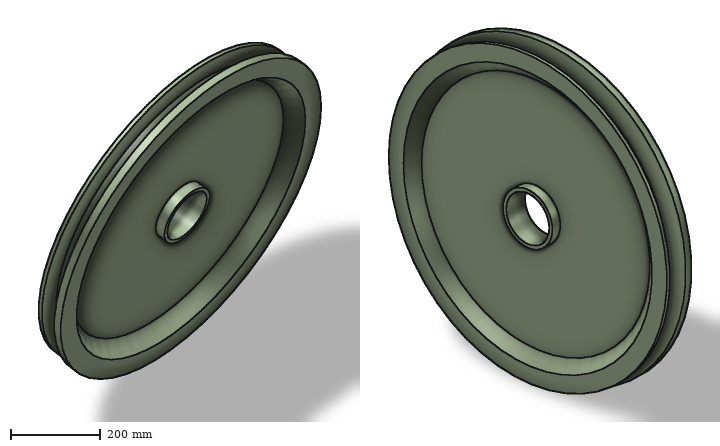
import cadquery as cq

wheel_width = 75.0
wheel_diameter = 860.0

small_flange_diameter = 845.0
small_flange_width = 10.0
groove_diameter = 765.0
groove_start = 17.0
groove_end = 46.5
large_flange_width = 20.0
large_flange_foot_diameter = 851.0

hub_diameter = 150.0
bore_diameter = 130.0
hub_length = 63.0

recess_mouth_diameter = 755.0
recess_floor_diameter = 693.0
near_web_face = 27.0
far_web_face = hub_length - near_web_face


def make_rim_blank():
    """Solid disc with the outer rim profile, revolved about X."""
    large_flange_start = wheel_width - large_flange_width
    profile = [
        (0, 0),
        (0, small_flange_diameter / 2),
        (small_flange_width, small_flange_diameter / 2),
        (groove_start, groove_diameter / 2),
        (groove_end, groove_diameter / 2),
        (large_flange_start, large_flange_foot_diameter / 2),
        (large_flange_start, wheel_diameter / 2),
        (wheel_width, wheel_diameter / 2),
        (wheel_width, 0),
    ]
    return cq.Workplane("XY").polyline(profile).close().revolve(360, (0, 0), (1, 0))


def make_recess(face_x, web_face_x):
    """Cone-sided recess from a wheel face down to the web."""
    profile = [
        (face_x, 0),
        (face_x, recess_mouth_diameter / 2),
        (web_face_x, recess_floor_diameter / 2),
        (web_face_x, 0),
    ]
    return cq.Workplane("XY").polyline(profile).close().revolve(360, (0, 0), (1, 0))


wheel = make_rim_blank()
for face_x, web_face_x in ((0, near_web_face), (wheel_width, far_web_face)):
    wheel = wheel.cut(make_recess(face_x, web_face_x))

hub = cq.Workplane("YZ").circle(hub_diameter / 2).extrude(hub_length)
bore = cq.Workplane("YZ").circle(bore_diameter / 2).extrude(hub_length)
result = wheel.union(hub).cut(bore)